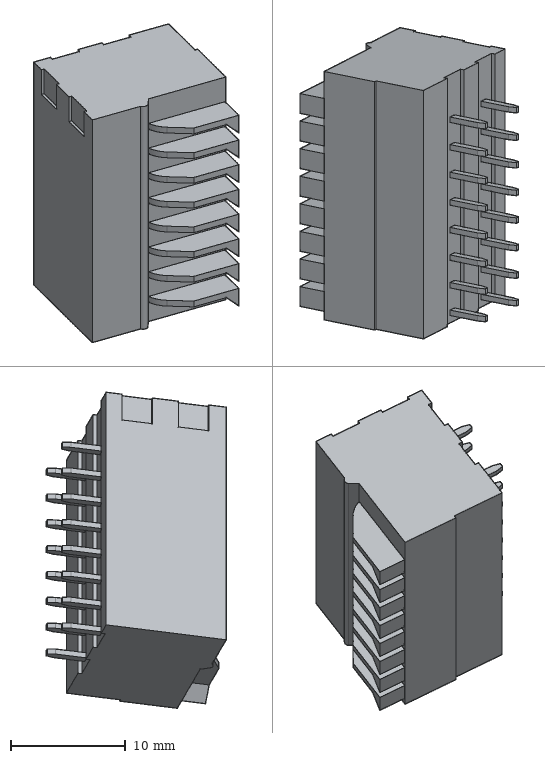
import cadquery as cq


housing_height = 22.85
housing_length = 10.84
housing_depth = 13.6
rear_step_start = 4.87
rear_step = 0.25
lever_wall = 10.08
notch_y = 5.97
nose_reach = 0.18
nose_root_y = 4.78
nose_span = 0.69
nose_start_x = 10.88

rows = 8
row_pitch = 2.54
column_pitch = 5.07
first_column_y = 3.02
column_ys = [first_column_y, first_column_y + column_pitch]

groove_width = 2.7
groove_depth = 0.35

pin_width = 0.7
pin_height = 0.5
pin_reach = 3.18
pin_tip_length = 0.7
pin_tip_width = 0.37
first_pin_z = 0.94

pocket_width = 2.75
pocket_depth = 0.27
pocket_height = row_pitch
first_pocket_x = 1.45

lever_end = 12.62
lever_back_y = 13.53
lever_corner_y = 9.08
lever_bend = (11.4, 7.09)
lever_arc_mid = (10.81, 6.4)
lever_height = 1.83
lever_plate = 0.6
first_lever_z = 0.75
gusset_height = lever_height - lever_plate
gusset_front_y = lever_back_y - gusset_height


def make_housing():
    nose_peak = (housing_length + nose_reach, nose_root_y + nose_span / 2)
    nose_start = (nose_start_x, nose_root_y + nose_span)
    return (
        cq.Workplane("XY")
        .lineTo(housing_length, 0)
        .lineTo(housing_length, nose_root_y)
        .threePointArc(nose_peak, nose_start)
        .lineTo(lever_wall, notch_y)
        .lineTo(lever_wall, housing_depth)
        .lineTo(rear_step_start, housing_depth)
        .lineTo(rear_step_start, housing_depth - rear_step)
        .lineTo(0, housing_depth - rear_step)
        .close()
        .extrude(housing_height)
    )


def make_groove(column_y):
    return cq.Workplane("XY").box(
        groove_depth, groove_width, housing_height, centered=(False, True, False)
    ).translate((0, column_y, 0))


def make_pocket(x):
    return cq.Workplane("XY").box(
        pocket_width, pocket_depth, pocket_height, centered=False
    ).translate((x, 0, housing_height - pocket_height))


def make_pin(column_y, z):
    shoulder_x = pin_tip_length - pin_reach
    outline = [
        (groove_depth, -pin_width / 2),
        (groove_depth, pin_width / 2),
        (shoulder_x, pin_width / 2),
        (-pin_reach, pin_tip_width / 2),
        (-pin_reach, -pin_tip_width / 2),
        (shoulder_x, -pin_width / 2),
    ]
    pin = cq.Workplane("XY").polyline(outline).close().extrude(pin_height / 2, both=True)
    return pin.translate((0, column_y, z))


def make_lever(bottom_z):
    """Curved finger plate on top of a gusset that slopes down towards the back."""
    plate = (
        cq.Workplane("XY")
        .workplane(offset=gusset_height)
        .moveTo(lever_wall, notch_y)
        .threePointArc(lever_arc_mid, lever_bend)
        .lineTo(lever_end, lever_corner_y)
        .lineTo(lever_end, lever_back_y)
        .lineTo(lever_wall, lever_back_y)
        .close()
        .extrude(lever_plate)
    )
    gusset = (
        cq.Workplane("YZ", origin=(lever_wall, 0, 0))
        .polyline([(gusset_front_y, gusset_height), (lever_back_y, gusset_height), (lever_back_y, 0)])
        .close()
        .extrude(lever_end - lever_wall)
    )
    return plate.union(gusset).translate((0, 0, bottom_z))


result = make_housing()

for column_index, column_y in enumerate(column_ys):
    result = result.cut(make_groove(column_y))
    result = result.cut(make_pocket(first_pocket_x + column_index * column_pitch))

for row in range(rows):
    rise = row * row_pitch
    result = result.union(make_lever(first_lever_z + rise))
    for column_y in column_ys:
        result = result.union(make_pin(column_y, first_pin_z + rise))